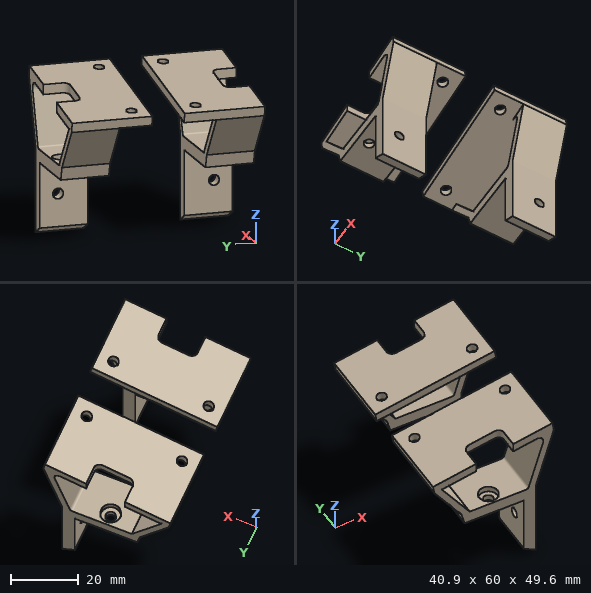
import cadquery as cq
import math

OVERALL_LENGTH = 60.0
OUTER_Y = -OVERALL_LENGTH / 2

PLATE_TILT = 10.0
PLATE_LENGTH = 41.05
PLATE_WIDTH = 25.0
PLATE_THICKNESS = 3.0
PLATE_LEFT_X = -34.8
PLATE_TOP_Z = 27.3
PLATE_HOLE_INSET = 5.0

FRAME_WIDTH = 15.0
SHELF_THICKNESS = 4.1
SHELF_LEFT_X = -24.05
SHELF_END_SLANT = 1.1
LEG_THICKNESS = 4.1
LEG_LENGTH = 22.3
LEG_TIP_ANGLE = 30.0
LEFT_WALL_THICKNESS = 2.3
RIGHT_WALL_THICKNESS = 2.5
WINDOW_TOP_FILLET = 2.0
WINDOW_BOTTOM_FILLET = 1.0

HOLE_DIAMETER = 3.2
COUNTERBORE_DIAMETER = 6.2
COUNTERBORE_DEPTH = 2.0
SHELF_HOLE_X = -13.9
SHELF_HOLE_INSET = 3.85
LEG_HOLE_INSET = 5.75
LEG_HOLE_Z = -9.9
NOTCH_WIDTH = 12.5
NOTCH_DEPTH = 7.75
NOTCH_FILLET = 2.0

TILT_COS = math.cos(math.radians(PLATE_TILT))
TILT_SIN = math.sin(math.radians(PLATE_TILT))
PLATE_LEFT_Z = PLATE_TOP_Z - PLATE_LENGTH * TILT_SIN


def plate_point(along, depth):
    """Point (x, z) at a distance along the plate and a depth below its top face."""
    x = PLATE_LEFT_X + along * TILT_COS + depth * TILT_SIN
    z = PLATE_LEFT_Z + along * TILT_SIN - depth * TILT_COS
    return (x, z)


PLATE_LOWER_LEFT = plate_point(0, PLATE_THICKNESS)
PLATE_LOWER_RIGHT = plate_point(PLATE_LENGTH, PLATE_THICKNESS)
SHELF_TOP_LEFT = (SHELF_LEFT_X - SHELF_END_SLANT, SHELF_THICKNESS)
SHELF_TOP_RIGHT = (0, SHELF_THICKNESS)


def wall_inner_points(bottom, top, thickness, side):
    """Ends of a wall's inner face, on the shelf top and on the plate underside.

    side is +1 if the inside lies toward +X of the wall, -1 if toward -X.
    """
    slope = (top[0] - bottom[0]) / (top[1] - bottom[1])
    lower_x = bottom[0] + side * thickness * math.hypot(1, slope)
    plate_slope = TILT_SIN / TILT_COS
    underside_z = PLATE_LOWER_LEFT[1] + (lower_x - PLATE_LOWER_LEFT[0]) * plate_slope
    rise = (underside_z - SHELF_THICKNESS) / (1 - slope * plate_slope)
    return (lower_x, SHELF_THICKNESS), (lower_x + slope * rise, SHELF_THICKNESS + rise)


def extrude_from_outer_side(points, width):
    """Extrude an XZ outline from the outer side toward the middle."""
    return cq.Workplane("XZ", origin=(0, OUTER_Y, 0)).polyline(points).close().extrude(-width)


def make_plate():
    corners = [
        plate_point(0, 0),
        plate_point(PLATE_LENGTH, 0),
        PLATE_LOWER_RIGHT,
        PLATE_LOWER_LEFT,
    ]
    return extrude_from_outer_side(corners, PLATE_WIDTH)


def make_frame():
    leg_tip_z = LEG_THICKNESS * math.tan(math.radians(LEG_TIP_ANGLE)) - LEG_LENGTH
    outline = [
        PLATE_LOWER_LEFT,
        SHELF_TOP_LEFT,
        (SHELF_LEFT_X, 0),
        (-LEG_THICKNESS, 0),
        (-LEG_THICKNESS, leg_tip_z),
        (0, -LEG_LENGTH),
        SHELF_TOP_RIGHT,
        PLATE_LOWER_RIGHT,
    ]
    return extrude_from_outer_side(outline, FRAME_WIDTH)


def make_window():
    """Opening enclosed by the plate, the shelf and the two walls."""
    left_bottom, left_top = wall_inner_points(
        SHELF_TOP_LEFT, PLATE_LOWER_LEFT, LEFT_WALL_THICKNESS, 1)
    right_bottom, right_top = wall_inner_points(
        SHELF_TOP_RIGHT, PLATE_LOWER_RIGHT, RIGHT_WALL_THICKNESS, -1)
    window = extrude_from_outer_side([left_bottom, right_bottom, right_top, left_top], FRAME_WIDTH)
    for corner, radius in (
        (right_top, WINDOW_TOP_FILLET),
        (right_bottom, WINDOW_BOTTOM_FILLET),
    ):
        edge_middle = (corner[0], OUTER_Y + FRAME_WIDTH / 2, corner[1])
        edge = cq.selectors.NearestToPointSelector(edge_middle)
        window = window.edges(edge).fillet(radius)
    return window


def make_notch():
    """Vertical cutter that gives access to the shelf screw through the plate."""
    notch_height = PLATE_TOP_Z - SHELF_THICKNESS
    return (
        cq.Workplane("XY", origin=(SHELF_HOLE_X, OUTER_Y, SHELF_THICKNESS))
        .rect(NOTCH_WIDTH, 2 * NOTCH_DEPTH)
        .extrude(notch_height)
        .edges("|Z")
        .fillet(NOTCH_FILLET)
    )


def make_plate_holes():
    """Two cutters square to the plate, near its inner long edge."""
    hole_y = OUTER_Y + PLATE_WIDTH - PLATE_HOLE_INSET
    cutters = cq.Workplane("XY")
    for along in (PLATE_HOLE_INSET, PLATE_LENGTH - PLATE_HOLE_INSET):
        x, z = plate_point(along, 0)
        axis_plane = cq.Plane(
            origin=(x, hole_y, z),
            xDir=(TILT_COS, 0, TILT_SIN),
            normal=(-TILT_SIN, 0, TILT_COS),
        )
        cutter = cq.Workplane(axis_plane).circle(HOLE_DIAMETER / 2).extrude(-PLATE_THICKNESS)
        cutters = cutters.add(cutter)
    return cutters.combine()


def make_shelf_hole():
    """Counterbored screw hole, sunk from the top of the shelf."""
    shelf_top = cq.Workplane("XY", origin=(SHELF_HOLE_X, OUTER_Y + SHELF_HOLE_INSET, SHELF_THICKNESS))
    bore = shelf_top.circle(HOLE_DIAMETER / 2).extrude(-SHELF_THICKNESS)
    counterbore = shelf_top.circle(COUNTERBORE_DIAMETER / 2).extrude(-COUNTERBORE_DEPTH)
    return bore.union(counterbore)


def make_leg_hole():
    return (
        cq.Workplane("YZ", origin=(0, OUTER_Y + LEG_HOLE_INSET, LEG_HOLE_Z))
        .circle(HOLE_DIAMETER / 2)
        .extrude(-LEG_THICKNESS)
    )


def make_bracket():
    frame = make_frame().cut(make_window())
    bracket = frame.union(make_plate())
    for cutter in (make_notch(), make_plate_holes(), make_shelf_hole(), make_leg_hole()):
        bracket = bracket.cut(cutter)
    return bracket


front_bracket = make_bracket()
rear_bracket = front_bracket.mirror("XZ")

result = cq.Compound.makeCompound([front_bracket.val(), rear_bracket.val()])